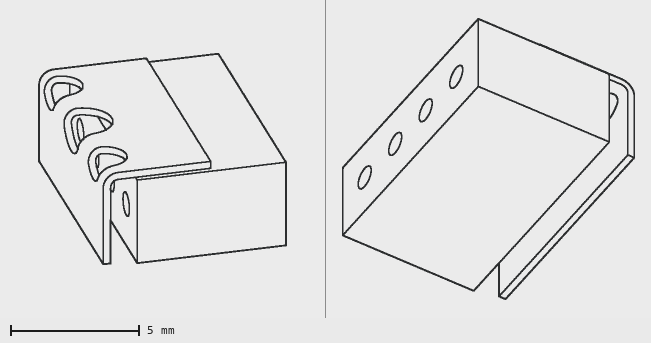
import cadquery as cq
import math

BLOCK_LENGTH = 10.0
BLOCK_DEPTH = 6.0
BLOCK_HEIGHT = 3.6

BORE_DIAMETER = 0.95
BORE_COUNT = 4
BORE_PITCH = 2.25
BORE_HEIGHT = BLOCK_HEIGHT / 2

SHEET = 0.3
COVER_LENGTH = 9.5
SHELF_OVERLAP = 3.03
FLANGE_GAP = 1.0
BEND_INNER_RADIUS = 0.3

SIDE_WINDOW_DIAMETER = 1.75
SIDE_WINDOW_OFFSET = 3.25
MIDDLE_WINDOW_DIAMETER = 2.36
WINDOW_SETBACK = 0.14
BEND_SECTIONS = 9
CUT_MARGIN = 0.1

COVER_TOP = BLOCK_HEIGHT + SHEET
FLANGE_FRONT = -(FLANGE_GAP + SHEET)
BEND_OUTER_RADIUS = BEND_INNER_RADIUS + SHEET
BEND_MID_RADIUS = BEND_INNER_RADIUS + SHEET / 2
BEND_LENGTH = BEND_MID_RADIUS * math.pi / 2
BEND_Y = FLANGE_FRONT + BEND_OUTER_RADIUS
BEND_Z = COVER_TOP - BEND_OUTER_RADIUS


def make_block():
    """Rectangular block with an evenly spaced row of through bores."""
    block = cq.Workplane("XY").box(
        BLOCK_LENGTH, BLOCK_DEPTH, BLOCK_HEIGHT, centered=(True, False, False)
    )
    bores = (
        cq.Workplane("XZ")
        .center(0, BORE_HEIGHT)
        .rarray(BORE_PITCH, 0.1, BORE_COUNT, 1)
        .circle(BORE_DIAMETER / 2)
        .extrude(-BLOCK_DEPTH)
    )
    return block.cut(bores)


def make_bent_sheet():
    """L-shaped sheet with a rounded bend, before the windows are cut."""
    diagonal = math.sqrt(0.5)

    def bend_middle(radius):
        return BEND_Y - radius * diagonal, BEND_Z + radius * diagonal

    return (
        cq.Workplane("YZ", origin=(-COVER_LENGTH / 2, 0, 0))
        .moveTo(SHELF_OVERLAP, COVER_TOP)
        .lineTo(BEND_Y, COVER_TOP)
        .threePointArc(bend_middle(BEND_OUTER_RADIUS), (FLANGE_FRONT, BEND_Z))
        .lineTo(FLANGE_FRONT, 0)
        .lineTo(-FLANGE_GAP, 0)
        .lineTo(-FLANGE_GAP, BEND_Z)
        .threePointArc(bend_middle(BEND_INNER_RADIUS), (BEND_Y, BLOCK_HEIGHT))
        .lineTo(SHELF_OVERLAP, BLOCK_HEIGHT)
        .close()
        .extrude(COVER_LENGTH)
    )


def bend_section(x_center, radius, angle):
    """Radial rectangle, as wide as the window is at this angle around the bend."""
    distance = BEND_MID_RADIUS * angle - WINDOW_SETBACK
    half_width = math.sqrt(radius**2 - distance**2)
    inner = BEND_INNER_RADIUS - CUT_MARGIN
    outer = BEND_OUTER_RADIUS + CUT_MARGIN
    corners = [(-half_width, inner), (half_width, inner), (half_width, outer), (-half_width, outer)]
    points = [
        cq.Vector(x_center + x, BEND_Y - rho * math.sin(angle), BEND_Z + rho * math.cos(angle))
        for x, rho in corners
    ]
    return cq.Wire.makePolygon(points, close=True)


def cut_window(sheet, x_center, diameter):
    """Cut a round window that follows the sheet from the shelf, around the bend, to the flange."""
    radius = diameter / 2
    cutter_height = SHEET + 2 * CUT_MARGIN

    shelf_part = (
        cq.Workplane("XY", origin=(x_center, BEND_Y - WINDOW_SETBACK, BLOCK_HEIGHT - CUT_MARGIN))
        .circle(radius)
        .extrude(cutter_height)
        .intersect(
            cq.Workplane("XY", origin=(x_center, BEND_Y, 0))
            .box(diameter, diameter, COVER_TOP + cutter_height, centered=(True, False, False))
        )
    )

    flange_center_z = BEND_Z + BEND_LENGTH - WINDOW_SETBACK
    flange_part = (
        cq.Workplane("XZ", origin=(x_center, CUT_MARGIN - FLANGE_GAP, flange_center_z))
        .circle(radius)
        .extrude(cutter_height)
        .intersect(
            cq.Workplane("XY", origin=(x_center, FLANGE_FRONT, 0))
            .box(diameter, 2 * cutter_height, BEND_Z, centered=(True, True, False))
        )
    )

    step = math.pi / 2 / (BEND_SECTIONS - 1)
    sections = [bend_section(x_center, radius, i * step) for i in range(BEND_SECTIONS)]
    bend_part = cq.Workplane(cq.Solid.makeLoft(sections))

    return sheet.cut(shelf_part).cut(flange_part).cut(bend_part)


def make_cover():
    """Bent sheet with a large middle window and two smaller side windows."""
    cover = make_bent_sheet()
    cover = cut_window(cover, 0, MIDDLE_WINDOW_DIAMETER)
    for x_center in (-SIDE_WINDOW_OFFSET, SIDE_WINDOW_OFFSET):
        cover = cut_window(cover, x_center, SIDE_WINDOW_DIAMETER)
    return cover


block = make_block()
cover = make_cover()

result = cq.Compound.makeCompound([block.solids().val(), cover.solids().val()])